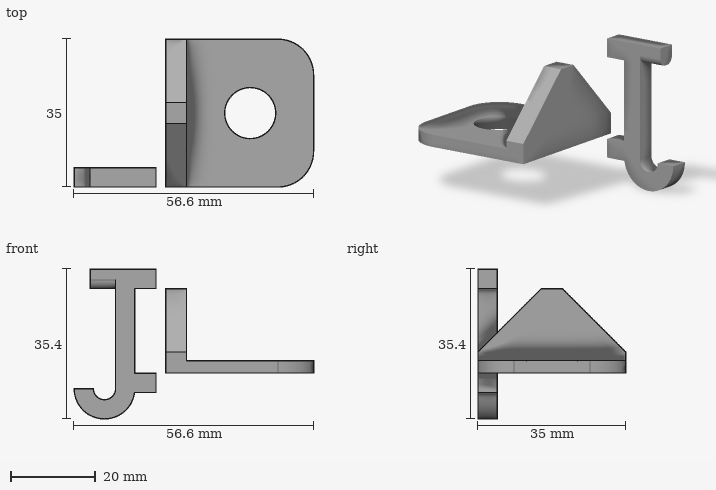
import cadquery as cq

bracket_size = 35.0
plate_thickness = 3.0
wall_thickness = 5.0
wall_height = 20.0
wall_shoulder_height = 5.0
wall_crest_length = 5.0
corner_radius = 8.5
hole_diameter = 12.0

overall_length = 56.6
overall_height = 35.4
strip_thickness = 4.6
clip_width = 4.65
bend_inner_radius = 2.6
arm_reach = 5.0
nose_length = 6.0
nose_edge_radius = 2.0

bend_outer_radius = bend_inner_radius + strip_thickness
bracket_left = overall_length - bracket_size

bend_center_x = bend_outer_radius
bend_center_z = bend_outer_radius
strip_left = bend_center_x + bend_inner_radius
strip_right = strip_left + strip_thickness
arm_end = strip_right + arm_reach
upper_arm_bottom = overall_height - strip_thickness
lower_arm_top = upper_arm_bottom - wall_height
lower_arm_bottom = lower_arm_top - strip_thickness


def box_between(x_range, y_range, z_range):
    """Axis-aligned box given by its start and end along each axis."""
    ranges = (x_range, y_range, z_range)
    lengths = [end - start for start, end in ranges]
    corner = tuple(start for start, end in ranges)
    return cq.Workplane("XY").box(*lengths, centered=False).translate(corner)


def make_plate():
    """Flat plate with two rounded outer corners and a round hole."""
    hole_x = (wall_thickness + bracket_size) / 2
    plate = cq.Workplane("XY").box(bracket_size, bracket_size, plate_thickness, centered=False)
    plate = plate.edges("|Z and >X").fillet(corner_radius)
    hole = (
        cq.Workplane("XY")
        .center(hole_x, bracket_size / 2)
        .circle(hole_diameter / 2)
        .extrude(plate_thickness)
    )
    return plate.cut(hole)


def make_wall():
    """Upright wall that slopes from both shoulders to a short level crest."""
    crest_start = (bracket_size - wall_crest_length) / 2
    return (
        cq.Workplane("YZ")
        .moveTo(0, 0)
        .lineTo(bracket_size, 0)
        .lineTo(bracket_size, wall_shoulder_height)
        .lineTo(crest_start + wall_crest_length, wall_height)
        .lineTo(crest_start, wall_height)
        .lineTo(0, wall_shoulder_height)
        .close()
        .extrude(wall_thickness)
    )


def make_bracket():
    return make_plate().union(make_wall()).translate((bracket_left, 0, lower_arm_top))


def make_bend():
    """Half-ring at the foot of the strip, open upward."""
    return (
        cq.Workplane("XZ")
        .moveTo(0, bend_center_z)
        .threePointArc((bend_center_x, 0), (strip_right, bend_center_z))
        .lineTo(strip_left, bend_center_z)
        .threePointArc(
            (bend_center_x, bend_center_z - bend_inner_radius),
            (bend_center_x - bend_inner_radius, bend_center_z),
        )
        .close()
        .extrude(-clip_width)
    )


def make_nose():
    """Catch at the top of the strip, with its two lower edges rounded."""
    nose = box_between(
        (strip_left - nose_length, strip_left),
        (0, clip_width),
        (upper_arm_bottom, overall_height),
    )
    return nose.edges("|X and <Z").fillet(nose_edge_radius)


def make_hook():
    width = (0, clip_width)
    strip = box_between((strip_left, strip_right), width, (bend_center_z, overall_height))
    upper_arm = box_between((strip_left, arm_end), width, (upper_arm_bottom, overall_height))
    bend_overlap_x = strip_right - strip_thickness / 2
    lower_arm = box_between((bend_overlap_x, arm_end), width, (lower_arm_bottom, lower_arm_top))
    return strip.union(make_bend()).union(upper_arm).union(lower_arm).union(make_nose())


bracket = make_bracket()
hook = make_hook()

result = cq.Compound.makeCompound([bracket.val(), hook.val()])